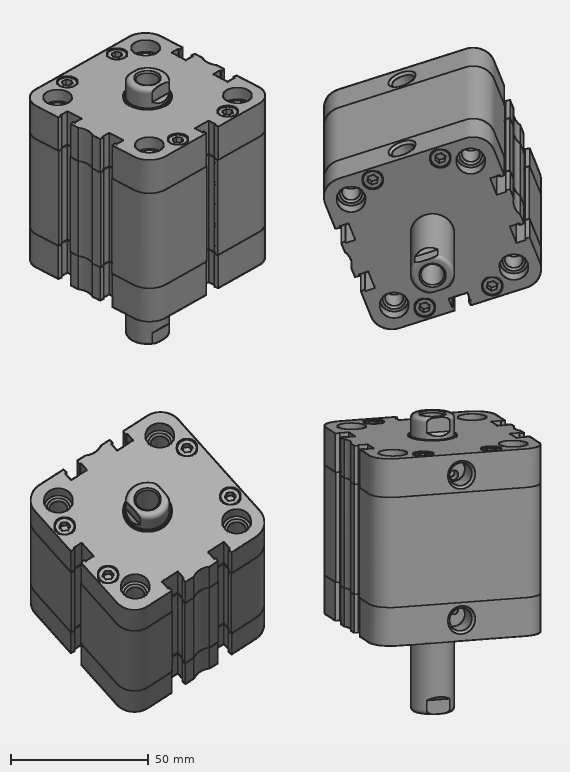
import cadquery as cq
import math


overall_length = 111.0
side = 65.5
corner_radius = 8.1
cap_height = 14.4
housing_height = 70.0
barrel_height = housing_height - 2 * cap_height

slot_offset = 10.5
mouth_width = 5.8
mouth_flare = 0.2
lip_thickness = 1.7
barrel_slot_width = 6.8
barrel_slot_depth = 5.1
cap_slot_clearance = 0.2
cap_slot_width = barrel_slot_width + 2 * cap_slot_clearance
cap_slot_depth = barrel_slot_depth + cap_slot_clearance
scallop_half_width = 3.5
scallop_depth = 1.0

fixing_offset = 23.2
counterbore_diameter = 10.5
counterbore_depth = 5.0
thread_entry_diameter = 8.3
thread_diameter = 6.7

screw_x = 28.0
screw_y = 13.1
screw_recess_diameter = 7.7
screw_recess_depth = 0.7
screw_head_chamfer = 0.3
socket_flats = 3.5
socket_depth = 2.8

port_depth_below_face = 7.9
port_diameter = 8.5
port_entry_diameter = 10.5
port_depth = 8.9
passage_diameter = 3.5
passage_offset = 2.0
passage_depth = 4.4

rod_diameter = 16.0
rod_top_reach = 8.0
rod_rounding = 1.7
flats_width = 13.3
flats_length = 5.4
rod_bore_diameter = 8.5
rod_bore_entry_diameter = 9.8
rod_bore_depth = 16.6

wiper_diameter = 17.6
wiper_lip_diameter = 16.5
wiper_height = 2.2
wiper_rim_drop = 0.5
wiper_recess_entry_diameter = 18.0

half_side = side / 2
half_housing = housing_height / 2
half_barrel = barrel_height / 2
slot_places = [
    (-slot_offset, -half_side, 0),
    (slot_offset, -half_side, 0),
    (half_side, 0, 90),
    (slot_offset, half_side, 180),
    (-slot_offset, half_side, 180),
]
side_signs = [(sx, sy) for sx in (-1, 1) for sy in (-1, 1)]


def slot_cutter(height, width, depth, flare):
    """A T-slot opening toward -Y, with the middle of its mouth at the origin."""
    half_mouth = mouth_width / 2
    half_width = width / 2
    return (
        cq.Workplane("XY")
        .polyline([
            (-half_mouth - flare, 0),
            (-half_mouth, lip_thickness),
            (-half_width, lip_thickness),
            (-half_width, depth),
            (half_width, depth),
            (half_width, lip_thickness),
            (half_mouth, lip_thickness),
            (half_mouth + flare, 0),
        ])
        .close()
        .extrude(height)
    )


def profile_block(height, slot_width, slot_depth, flare):
    """Rounded square block with the slots and scallops along its whole height, standing on Z = 0."""
    block = cq.Workplane("XY").rect(side, side).extrude(height).edges("|Z").fillet(corner_radius)
    slot = slot_cutter(height, slot_width, slot_depth, flare)
    for x, y, turn in slot_places:
        block = block.cut(slot.rotate((0, 0, 0), (0, 0, 1), turn).translate((x, y, 0)))
    scallop_radius = (scallop_half_width**2 + scallop_depth**2) / (2 * scallop_depth)
    scallop_centre = half_side - scallop_depth + scallop_radius
    scallops = cq.Workplane("XY").pushPoints([(0, -scallop_centre), (0, scallop_centre)])
    return block.cut(scallops.circle(scallop_radius).extrude(height))


def turned(points):
    """Solid of revolution about Z from (radius, height) points."""
    return cq.Workplane("XZ").polyline(points).close().revolve(360, (0, 0, 0), (0, 1, 0))


def countersunk_hole(diameter, entry_diameter, depth):
    """Cutter for a hole going down from Z = 0, with a 45-degree countersink at its mouth."""
    radius = diameter / 2
    entry_radius = entry_diameter / 2
    return turned([
        (0, 0),
        (entry_radius, 0),
        (radius, radius - entry_radius),
        (radius, -depth),
        (0, -depth),
    ])


def rod_hole(height):
    """Cutter for the rod's passage, going up from Z = 0."""
    return cq.Workplane("XY").circle(rod_diameter / 2).extrude(height)


def fixing_hole():
    """Counterbored threaded hole through the cap, going down from Z = 0."""
    counterbore = cq.Workplane("XY").circle(counterbore_diameter / 2).extrude(-counterbore_depth)
    thread = countersunk_hole(thread_diameter, thread_entry_diameter, cap_height - counterbore_depth)
    return counterbore.union(thread.translate((0, 0, -counterbore_depth)))


def screw_recess():
    """Recess above a chamfered screw head, with its hexagon socket, going down from Z = 0."""
    radius = screw_recess_diameter / 2
    head_top = screw_head_chamfer - screw_recess_depth
    recess = turned([
        (0, 0),
        (radius, 0),
        (radius, -screw_recess_depth),
        (radius - screw_head_chamfer, head_top),
        (0, head_top),
    ])
    socket_corners = socket_flats / math.cos(math.pi / 6)
    socket = cq.Workplane("XY").polygon(6, socket_corners).extrude(-socket_depth)
    return recess.union(socket.rotate((0, 0, 0), (0, 0, 1), 30))


def wiper_recess():
    """Recess for the wiper ring with a chamfered mouth, going down from Z = 0."""
    return countersunk_hole(wiper_diameter, wiper_recess_entry_diameter, wiper_height)


def air_port():
    """Port going down from Z = 0, with a small off-centre passage in its floor."""
    port = countersunk_hole(port_diameter, port_entry_diameter, port_depth)
    passage = (
        cq.Workplane("XY")
        .center(-passage_offset, 0)
        .circle(passage_diameter / 2)
        .extrude(-port_depth - passage_depth)
    )
    return port.union(passage)


def make_plain_cap():
    """Top cap with a plain rod hole."""
    cap = profile_block(cap_height, cap_slot_width, cap_slot_depth, mouth_flare)
    cap = cap.cut(rod_hole(cap_height)).translate((0, 0, half_barrel))
    for sx, sy in side_signs:
        cap = cap.cut(fixing_hole().translate((sx * fixing_offset, sy * fixing_offset, half_housing)))
        cap = cap.cut(screw_recess().translate((sx * screw_x, sy * screw_y, half_housing)))
    port = air_port().rotate((0, 0, 0), (0, 1, 0), -90)
    return cap.cut(port.translate((-half_side, 0, half_housing - port_depth_below_face)))


def make_wiper():
    """Ring around the rod, sloping from a lip flush with the cap face to a rim just below it."""
    outer_radius = wiper_diameter / 2
    lip_radius = wiper_lip_diameter / 2
    rod_radius = rod_diameter / 2
    ring = turned([
        (outer_radius, -wiper_rim_drop),
        (lip_radius, 0),
        (rod_radius, 0),
        (rod_radius, -wiper_height),
        (outer_radius, -wiper_height),
    ])
    return ring.translate((0, 0, half_housing))


def make_barrel():
    barrel = profile_block(barrel_height, barrel_slot_width, barrel_slot_depth, 0)
    return barrel.cut(rod_hole(barrel_height)).translate((0, 0, -half_barrel))


def rod_end_cutter():
    """Two wrench flats with 45-degree run-outs and a countersunk bore, for a rod end at Z = 0."""
    flat_offset = flats_width / 2
    beyond_rod = rod_diameter
    flat = (
        cq.Workplane("XZ")
        .polyline([
            (flat_offset, 0),
            (flat_offset, -flats_length),
            (beyond_rod, flat_offset - flats_length - beyond_rod),
            (beyond_rod, 0),
        ])
        .close()
        .extrude(rod_diameter / 2, both=True)
    )
    bore = countersunk_hole(rod_bore_diameter, rod_bore_entry_diameter, rod_bore_depth)
    return bore.union(flat).union(flat.mirror("YZ"))


def make_rod():
    rod_top = half_housing + rod_top_reach
    rod_bottom = rod_top - overall_length
    rod = cq.Workplane("XY").circle(rod_diameter / 2).extrude(overall_length)
    rod = rod.edges("%CIRCLE").fillet(rod_rounding).translate((0, 0, rod_bottom))
    end_cutter = rod_end_cutter()
    rod = rod.cut(end_cutter.translate((0, 0, rod_top)))
    return rod.cut(end_cutter.mirror("XY").translate((0, 0, rod_bottom)))


plain_cap = make_plain_cap()
top_cap = plain_cap.cut(wiper_recess().translate((0, 0, half_housing)))
bottom_cap = plain_cap.mirror("XY")
barrel = make_barrel()
wiper = make_wiper()
rod = make_rod()

result = cq.Compound.makeCompound([
    top_cap.val(),
    bottom_cap.val(),
    barrel.val(),
    wiper.val(),
    rod.val(),
])